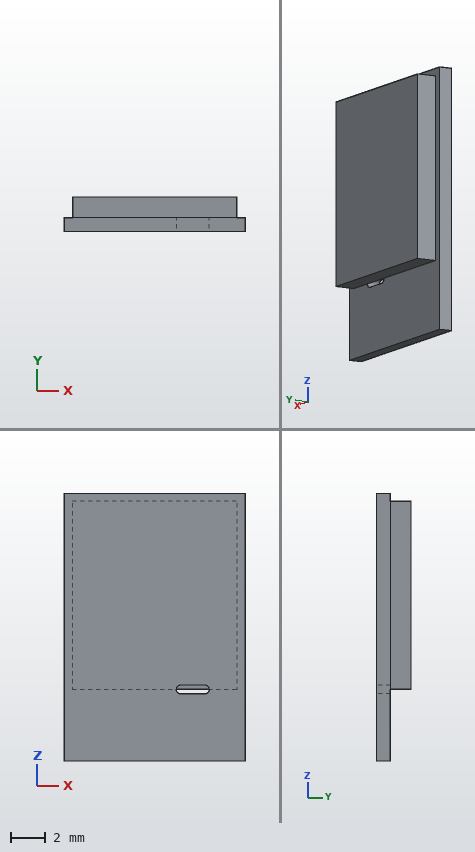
import cadquery as cq

plate_width = 10.5
plate_height = 15.5
plate_thickness = 0.8

total_depth = 2.0
block_depth = total_depth - plate_thickness
block_side_margin = 0.5
block_top_margin = 0.45
block_bottom_margin = 4.15
block_width = plate_width - 2 * block_side_margin
block_height = plate_height - block_top_margin - block_bottom_margin

slot_length = 1.9
slot_height = 0.5
slot_center_x = 2.2
slot_center_z = block_bottom_margin


def make_plate():
    """Plate with its front face at Y = 0 and its lower edge at Z = 0."""
    return cq.Workplane("XY").box(
        plate_width, plate_thickness, plate_height, centered=(True, False, False)
    )


def make_block():
    """Block standing on the back face of the plate."""
    return (
        cq.Workplane("XY")
        .box(block_width, block_depth, block_height, centered=(True, False, False))
        .translate((0, plate_thickness, block_bottom_margin))
    )


def make_slot():
    """Cutter for the slot, as deep as the plate is thick."""
    return (
        cq.Workplane("XZ")
        .center(slot_center_x, slot_center_z)
        .slot2D(slot_length, slot_height)
        .extrude(-plate_thickness)
    )


result = make_plate().cut(make_slot()).union(make_block())